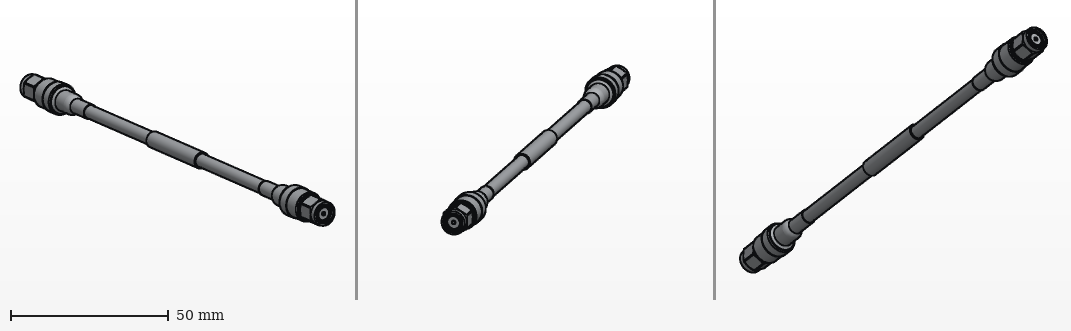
import cadquery as cq
import math


length = 169.3
half_length = length / 2

tip_diameter = 7.8
nut_across_flats = 8.0
nut_corner_diameter = 9.0
neck_diameter = 8.3
collar_face_diameter = 9.0
front_collar_diameter = 9.7
rear_collar_diameter = 10.2
body_diameter = 7.0
ferrule_diameter = 4.9
cable_diameter = 4.4
marker_diameter = 5.5

nut_start = 2.0
nut_end = 8.1
nut_chamfer = 0.3
collar_start = 8.8
collar_step = 14.5
collar_end = 18.8
collar_front_chamfer = 0.5
collar_rear_chamfer = 0.7
body_start = 19.5
shoulder_start = 24.4
shoulder_end = 26.5
ferrule_end = 34.4
marker_length = 27.6

socket_diameter = 6.5
shell_diameter = 5.2
insulator_diameter = 4.2
pin_diameter = 1.2
pin_tip_diameter = 0.95
shell_setback = 0.3
insulator_setback = 0.7
socket_depth = 1.0
pin_setback = 0.3
pin_tip_chamfer = 0.2


def turned_solid(stations):
    """Solid of revolution about X with straight lines between (distance, diameter) stations."""
    outline = [(distance - half_length, diameter / 2) for distance, diameter in stations]
    first_x = outline[0][0]
    last_x = outline[-1][0]
    profile = cq.Workplane("XY").polyline([(first_x, 0), *outline, (last_x, 0)]).close()
    return profile.revolve(360, (0, 0, 0), (1, 0, 0))


def rod(start, end, diameter):
    """Solid cylinder on the X axis between two distances from the mating end."""
    base = cq.Workplane("YZ", origin=(start - half_length, 0, 0))
    return base.circle(diameter / 2).extrude(end - start)


def coupling_nut():
    """Hexagon with flats on +Y and -Y, its corners turned round and both ends chamfered."""
    corner_to_corner = nut_across_flats / math.cos(math.radians(30))
    hexagon = (
        cq.Workplane("YZ", origin=(nut_start - half_length, 0, 0))
        .polygon(6, corner_to_corner)
        .extrude(nut_end - nut_start)
        .rotate((0, 0, 0), (1, 0, 0), 90)
    )
    turned_blank = turned_solid([
        (nut_start, tip_diameter),
        (nut_start + nut_chamfer, nut_corner_diameter),
        (nut_end - nut_chamfer, nut_corner_diameter),
        (nut_end, tip_diameter),
    ])
    return hexagon.intersect(turned_blank)


def collar():
    """Neck behind the nut, stepped collar with chamfered ends, and a cone down to the body."""
    return turned_solid([
        (nut_end, neck_diameter),
        (collar_start, neck_diameter),
        (collar_start, collar_face_diameter),
        (collar_start + collar_front_chamfer, front_collar_diameter),
        (collar_step, front_collar_diameter),
        (collar_step, rear_collar_diameter),
        (collar_end - collar_rear_chamfer, rear_collar_diameter),
        (collar_end, front_collar_diameter),
        (collar_end, collar_face_diameter),
        (body_start, body_diameter),
    ])


def rear_body():
    """Round body behind the collar, its rear shoulder curved in towards the ferrule."""
    start_x = body_start - half_length
    curve_start_x = shoulder_start - half_length
    end_x = shoulder_end - half_length
    profile = (
        cq.Workplane("XY")
        .moveTo(start_x, 0)
        .lineTo(start_x, body_diameter / 2)
        .lineTo(curve_start_x, body_diameter / 2)
        .tangentArcPoint((end_x, ferrule_diameter / 2), relative=False)
        .lineTo(end_x, 0)
        .close()
    )
    return profile.revolve(360, (0, 0, 0), (1, 0, 0))


def mating_socket():
    """Material removed from the mating end, leaving the shell and the centre pin."""
    cavity = rod(0, socket_depth, socket_diameter)
    shell = rod(shell_setback, socket_depth, shell_diameter)
    bore = rod(shell_setback, insulator_setback, insulator_diameter)
    pin = turned_solid([
        (pin_setback, pin_tip_diameter),
        (pin_setback + pin_tip_chamfer, pin_diameter),
        (insulator_setback, pin_diameter),
    ])
    return cavity.cut(shell).union(bore).cut(pin)


plug = (
    rod(0, nut_end, tip_diameter)
    .union(coupling_nut())
    .union(collar())
    .union(rear_body())
    .union(rod(shoulder_end, ferrule_end, ferrule_diameter))
    .cut(mating_socket())
)
cable = rod(ferrule_end, length - ferrule_end, cable_diameter)
marker = rod(half_length - marker_length / 2, half_length + marker_length / 2, marker_diameter)

result = plug.union(plug.mirror("YZ")).union(cable).union(marker)